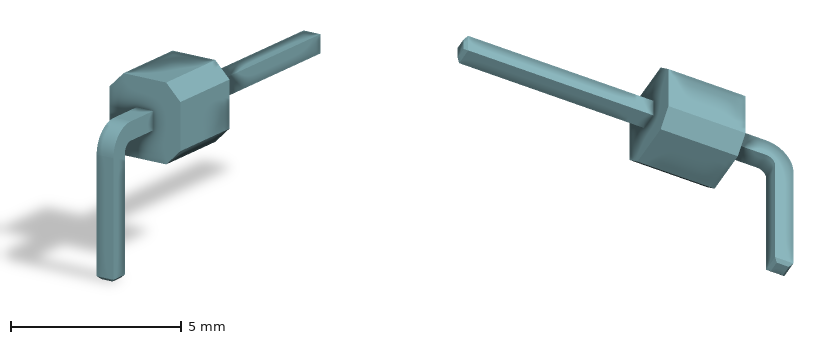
import cadquery as cq

pitch = 2.54
body_chamfer = pitch / 5

pin_width = 0.6
tip_chamfer = 0.1
inner_bend_radius = pin_width / 2
bend_radius = inner_bend_radius + pin_width / 2

overall_length = 10.8
overall_height = 5.74
front_reach = 2.06

body_front = -pitch / 2
leg_outer_y = body_front - front_reach
leg_y = leg_outer_y + pin_width / 2
leg_end_z = pitch / 2 - overall_height
pin_back_y = leg_outer_y + overall_length


def make_body():
    return cq.Workplane("XY").box(pitch, pitch, pitch).edges("|Y").chamfer(body_chamfer)


def make_pin():
    centreline = (
        cq.Workplane("YZ")
        .moveTo(pin_back_y, 0)
        .lineTo(leg_y + bend_radius, 0)
        .radiusArc((leg_y, -bend_radius), -bend_radius)
        .lineTo(leg_y, leg_end_z)
    )
    start = cq.Workplane("XZ", origin=(0, pin_back_y, 0))
    pin = start.rect(pin_width, pin_width).sweep(centreline)
    for tip_face in (">Y", "<Z"):
        pin = pin.faces(tip_face).chamfer(tip_chamfer)
    return pin


result = make_body().union(make_pin())